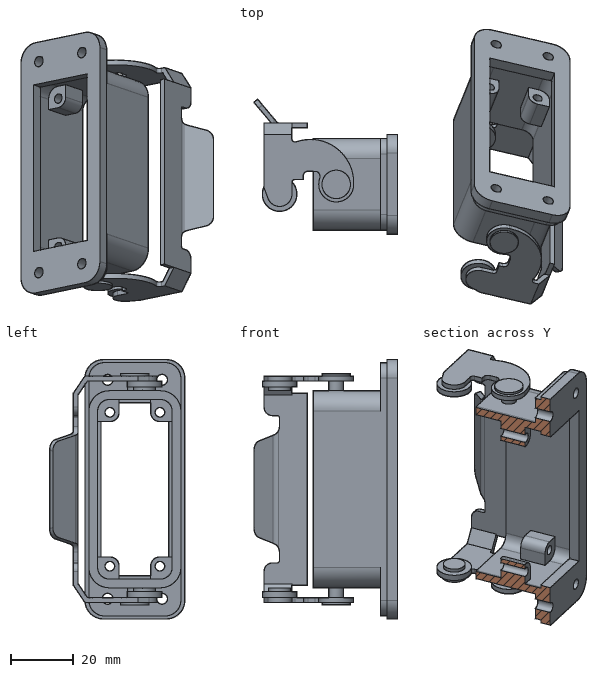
import cadquery as cq
import math


FLANGE_WIDTH = 32.0
FLANGE_HEIGHT = 83.0
FLANGE_THICKNESS = 3.5
FLANGE_RADIUS = 6.0
STEP_HEIGHT = 81.0
STEP_THICKNESS = 2.0
STEP_RADIUS = 5.0
OPENING_WIDTH = 21.6
OPENING_HEIGHT = 55.2
MOUNT_HOLE_DIAMETER = 3.4
MOUNT_HOLE_Y = 8.7
MOUNT_HOLE_Z = 35.0

HOUSING_WIDTH = 29.4
HOUSING_HEIGHT = 63.0
HOUSING_DEPTH = 27.0
HOUSING_RADIUS = 6.5
WALL = 2.8
BOSS_HOLE_DIAMETER = 3.0
BOSS_HOLE_Y = 8.0
BOSS_HOLE_Z = 24.6
BOSS_RADIUS = 3.0
BOSS_FRONT_X = -18.0
BOSS_LENGTH = 8.8

PIVOT_X = -19.65
PIVOT_DIAMETER = 4.8
PIVOT_HEAD_DIAMETER = 9.1
PIVOT_HEAD_THICKNESS = 0.75

SHEET = 1.6
BAIL_HALF_HEIGHT = 36.2
BAIL_TOP_Y = 19.7
BAIL_FRONT_X = -42.75
ARM_BACK_X = -33.8
SLANT_START_Y = 16.0
SLANT_END_Z = 30.7
LOBE_RADIUS = 5.6
LOBE_TOP_Y = 2.0
HOOK_TOP_Y = 14.4
HOOK_CENTRE_Y = 0.5
RELIEF_FRONT_X = -30.15
RELIEF_TOP_Y = 4.2
RELIEF_FILLET = 1.5
LEDGE_Y = 1.55
ARM_TAPER_Y = -1.0
ROOT_FILLET = 1.0

STRIP_BACK_X = -28.85
NOTCH_X = -37.85
NOTCH_OUTER_Z = 23.5
STRIP_CORNER_RADIUS = 2.75
NOTCH_FILLET = 0.6
TAB_ANGLE = math.radians(50)
TAB_BEND_X = -38.1
TAB_BEND_RADIUS = 0.7
TAB_FRONT_X = -46.0
TAB_ROOT_Z = 18.1
TAB_TIP_Z = 14.8
TAB_ROOT_FILLET = 2.8
TAB_TIP_FILLET = 3.2

ROLLER_X = -37.75
ROLLER_Y = -3.1
ROLLER_DIAMETER = 11.1
ROLLER_THICKNESS = 1.9
RIVET_DIAMETER = 7.0
RIVET_THICKNESS = 1.1


def rounded_block(width, height, x_back, thickness, radius):
    """Block centred in Y and Z that reaches from x_back toward -X, rounded along X."""
    block = cq.Workplane("XY").box(thickness, width, height)
    return block.edges("|X").fillet(radius).translate((x_back - thickness / 2, 0, 0))


def disc(diameter, x, y, z_low, z_high):
    """Disc whose axis is along Z."""
    return cq.Workplane("XY", origin=(x, y, z_low)).circle(diameter / 2).extrude(z_high - z_low)


def fillet_edge_at(solid, point, radius):
    """Round the edge whose centre lies nearest to the point."""
    return solid.edges(cq.selectors.NearestToPointSelector(point)).fillet(radius)


def four_holes(diameter, y, z):
    """Four cylinders along X, one in each quadrant, long enough to pass through everything."""
    points = [(y, z), (-y, z), (y, -z), (-y, -z)]
    return cq.Workplane("YZ").pushPoints(points).circle(diameter / 2).extrude(HOUSING_DEPTH, both=True)


def corner_boss(side_y, side_z):
    """Screw boss in one inner corner, rounded about its hole on the free corner."""
    inner_y = BOSS_HOLE_Y - BOSS_RADIUS
    inner_z = BOSS_HOLE_Z - BOSS_RADIUS
    outer_y = (HOUSING_WIDTH - WALL) / 2
    outer_z = (HOUSING_HEIGHT - WALL) / 2
    boss = cq.Workplane("XY").box(BOSS_LENGTH, outer_y - inner_y, outer_z - inner_z, centered=False)
    boss = boss.translate((BOSS_FRONT_X, inner_y, inner_z))
    boss = boss.edges("|X and <Y and <Z").fillet(BOSS_RADIUS)
    if side_y < 0:
        boss = boss.mirror("XZ")
    if side_z < 0:
        boss = boss.mirror("XY")
    return boss


def make_housing():
    """Flange, step and open shell, with four inner screw bosses and all screw holes."""
    flange = rounded_block(FLANGE_WIDTH, FLANGE_HEIGHT, 0, FLANGE_THICKNESS, FLANGE_RADIUS)
    step = rounded_block(HOUSING_WIDTH, STEP_HEIGHT, -FLANGE_THICKNESS, STEP_THICKNESS, STEP_RADIUS)
    shell = rounded_block(
        HOUSING_WIDTH, HOUSING_HEIGHT, -FLANGE_THICKNESS, HOUSING_DEPTH - FLANGE_THICKNESS, HOUSING_RADIUS
    )
    cavity = rounded_block(
        HOUSING_WIDTH - 2 * WALL,
        HOUSING_HEIGHT - 2 * WALL,
        -FLANGE_THICKNESS,
        HOUSING_DEPTH,
        HOUSING_RADIUS - WALL,
    )
    opening = cq.Workplane("XY").box(2 * HOUSING_DEPTH, OPENING_WIDTH, OPENING_HEIGHT)
    housing = flange.union(step).union(shell).cut(cavity).cut(opening)
    for side_y in (1, -1):
        for side_z in (1, -1):
            housing = housing.union(corner_boss(side_y, side_z).intersect(shell))
    housing = housing.cut(four_holes(BOSS_HOLE_DIAMETER, BOSS_HOLE_Y, BOSS_HOLE_Z))
    return housing.cut(four_holes(MOUNT_HOLE_DIAMETER, MOUNT_HOLE_Y, MOUNT_HOLE_Z))


def bail_arm():
    """Upper side plate: arm, hook curving around the pivot, and a round roller end."""
    lobe_back_x = PIVOT_X + LOBE_RADIUS
    lobe_top_x = PIVOT_X - math.sqrt(LOBE_RADIUS**2 - LOBE_TOP_Y**2)
    hook_radius = HOOK_TOP_Y - HOOK_CENTRE_Y
    hook_centre_x = lobe_back_x - hook_radius
    hook_start_y = HOOK_CENTRE_Y + math.sqrt(hook_radius**2 - (ARM_BACK_X - hook_centre_x) ** 2)
    hook_mid = (
        hook_centre_x + hook_radius * math.cos(math.pi / 4),
        HOOK_CENTRE_Y + hook_radius * math.sin(math.pi / 4),
    )

    end_radius = ARM_BACK_X - ROLLER_X
    taper_x = BAIL_FRONT_X - ROLLER_X
    taper_y = ARM_TAPER_Y - ROLLER_Y
    tangent_angle = math.atan2(taper_y, taper_x) + math.acos(end_radius / math.hypot(taper_x, taper_y))
    tangent_point = (
        ROLLER_X + end_radius * math.cos(tangent_angle),
        ROLLER_Y + end_radius * math.sin(tangent_angle),
    )
    arm = (
        cq.Workplane("XY", origin=(0, 0, BAIL_HALF_HEIGHT - SHEET))
        .moveTo(BAIL_FRONT_X, SLANT_START_Y)
        .lineTo(ARM_BACK_X, SLANT_START_Y)
        .lineTo(ARM_BACK_X, hook_start_y)
        .threePointArc(hook_mid, (lobe_back_x, HOOK_CENTRE_Y))
        .lineTo(lobe_back_x, 0)
        .threePointArc((PIVOT_X, -LOBE_RADIUS), (lobe_top_x, LOBE_TOP_Y))
        .lineTo(lobe_top_x, RELIEF_TOP_Y)
        .lineTo(RELIEF_FRONT_X, RELIEF_TOP_Y)
        .lineTo(RELIEF_FRONT_X, LEDGE_Y)
        .lineTo(ARM_BACK_X, LEDGE_Y)
        .lineTo(ARM_BACK_X, ROLLER_Y)
        .threePointArc((ROLLER_X, ROLLER_Y - end_radius), tangent_point)
        .lineTo(BAIL_FRONT_X, ARM_TAPER_Y)
        .close()
        .extrude(SHEET)
    )
    middle_z = BAIL_HALF_HEIGHT - SHEET / 2
    corners = [
        (ARM_BACK_X, hook_start_y, ROOT_FILLET),
        (ARM_BACK_X, LEDGE_Y, ROOT_FILLET),
        (lobe_top_x, RELIEF_TOP_Y, RELIEF_FILLET),
        (RELIEF_FRONT_X, RELIEF_TOP_Y, RELIEF_FILLET),
    ]
    for x, y, radius in corners:
        arm = fillet_edge_at(arm, (x, y, middle_z), radius)
    return arm


def bail_slant():
    """Sloping sheet that joins the upper side plate to the cross strip."""
    rise = BAIL_HALF_HEIGHT - SLANT_END_Z
    run = BAIL_TOP_Y - SLANT_START_Y
    half_bend = math.atan2(run, rise) / 2
    strip_shift = SHEET * math.tan(half_bend)
    arm_shift = SHEET * math.tan(math.pi / 4 - half_bend)
    return (
        cq.Workplane("YZ", origin=(BAIL_FRONT_X, 0, 0))
        .moveTo(SLANT_START_Y, BAIL_HALF_HEIGHT)
        .lineTo(BAIL_TOP_Y, SLANT_END_Z)
        .lineTo(BAIL_TOP_Y - SHEET, SLANT_END_Z - strip_shift)
        .lineTo(SLANT_START_Y - arm_shift, BAIL_HALF_HEIGHT - SHEET)
        .close()
        .extrude(ARM_BACK_X - BAIL_FRONT_X)
    )


def cross_strip():
    """Flat strip joining both sides, cut back at its middle where the thumb tab bends off."""
    strip_length = STRIP_BACK_X - BAIL_FRONT_X
    notch_depth = NOTCH_X - BAIL_FRONT_X
    middle_y = BAIL_TOP_Y - SHEET / 2
    strip = cq.Workplane("XY").box(strip_length, SHEET, 2 * SLANT_END_Z)
    strip = strip.translate((BAIL_FRONT_X + strip_length / 2, middle_y, 0))
    notch = cq.Workplane("XY").box(notch_depth, SHEET, 2 * NOTCH_OUTER_Z)
    strip = strip.cut(notch.translate((BAIL_FRONT_X + notch_depth / 2, middle_y, 0)))
    for side in (1, -1):
        strip = fillet_edge_at(strip, (BAIL_FRONT_X, middle_y, side * NOTCH_OUTER_Z), STRIP_CORNER_RADIUS)
        strip = fillet_edge_at(strip, (NOTCH_X, middle_y, side * NOTCH_OUTER_Z), NOTCH_FILLET)
    return strip


def thumb_tab():
    """Tapered tab bent up from the cross strip."""
    sin_tab = math.sin(TAB_ANGLE)
    cos_tab = math.cos(TAB_ANGLE)
    outer_radius = TAB_BEND_RADIUS + SHEET
    centre_y = BAIL_TOP_Y + TAB_BEND_RADIUS
    length = (TAB_BEND_X - outer_radius * sin_tab - TAB_FRONT_X) / cos_tab

    def on_bend(radius, angle, along):
        x = TAB_BEND_X - radius * math.sin(angle) - along * cos_tab
        y = centre_y - radius * math.cos(angle) + along * sin_tab
        return (x, y)

    sheet = (
        cq.Workplane("XY")
        .moveTo(NOTCH_X, BAIL_TOP_Y)
        .lineTo(*on_bend(TAB_BEND_RADIUS, 0, 0))
        .threePointArc(on_bend(TAB_BEND_RADIUS, TAB_ANGLE / 2, 0), on_bend(TAB_BEND_RADIUS, TAB_ANGLE, 0))
        .lineTo(*on_bend(TAB_BEND_RADIUS, TAB_ANGLE, length))
        .lineTo(*on_bend(outer_radius, TAB_ANGLE, length))
        .lineTo(*on_bend(outer_radius, TAB_ANGLE, 0))
        .threePointArc(on_bend(outer_radius, TAB_ANGLE / 2, 0), on_bend(outer_radius, 0, 0))
        .lineTo(NOTCH_X, BAIL_TOP_Y - SHEET)
        .close()
        .extrude(NOTCH_OUTER_Z, both=True)
    )
    blank_top_y = 2 * BAIL_TOP_Y
    blank = (
        cq.Workplane("XZ", origin=(0, blank_top_y, 0))
        .moveTo(STRIP_BACK_X, NOTCH_OUTER_Z)
        .lineTo(NOTCH_X, NOTCH_OUTER_Z)
        .lineTo(NOTCH_X, TAB_ROOT_Z)
        .lineTo(TAB_FRONT_X, TAB_TIP_Z)
        .lineTo(TAB_FRONT_X, -TAB_TIP_Z)
        .lineTo(NOTCH_X, -TAB_ROOT_Z)
        .lineTo(NOTCH_X, -NOTCH_OUTER_Z)
        .lineTo(STRIP_BACK_X, -NOTCH_OUTER_Z)
        .close()
        .extrude(blank_top_y)
    )
    for side in (1, -1):
        blank = fillet_edge_at(blank, (NOTCH_X, blank_top_y / 2, side * TAB_ROOT_Z), TAB_ROOT_FILLET)
    tab = sheet.intersect(blank)
    tip_x, tip_y = on_bend(TAB_BEND_RADIUS + SHEET / 2, TAB_ANGLE, length)
    for side in (1, -1):
        tab = fillet_edge_at(tab, (tip_x, tip_y, side * TAB_TIP_Z), TAB_TIP_FILLET)
    return tab


def upper_hardware():
    """Pivot pin with its head, and the roller with its rivet head, on the upper side plate."""
    inner_z = BAIL_HALF_HEIGHT - SHEET
    roller_z = inner_z - ROLLER_THICKNESS
    wall_z = HOUSING_HEIGHT / 2 - WALL / 2
    head_z = BAIL_HALF_HEIGHT + PIVOT_HEAD_THICKNESS
    pin = disc(PIVOT_DIAMETER, PIVOT_X, 0, wall_z, head_z)
    head = disc(PIVOT_HEAD_DIAMETER, PIVOT_X, 0, BAIL_HALF_HEIGHT, head_z)
    roller = disc(ROLLER_DIAMETER, ROLLER_X, ROLLER_Y, roller_z, inner_z)
    rivet = disc(RIVET_DIAMETER, ROLLER_X, ROLLER_Y, roller_z - RIVET_THICKNESS, roller_z)
    return pin.union(head).union(roller).union(rivet)


upper_side = bail_arm().union(bail_slant()).union(upper_hardware())
bail = cross_strip().union(thumb_tab()).union(upper_side).union(upper_side.mirror("XY"))
result = make_housing().union(bail)